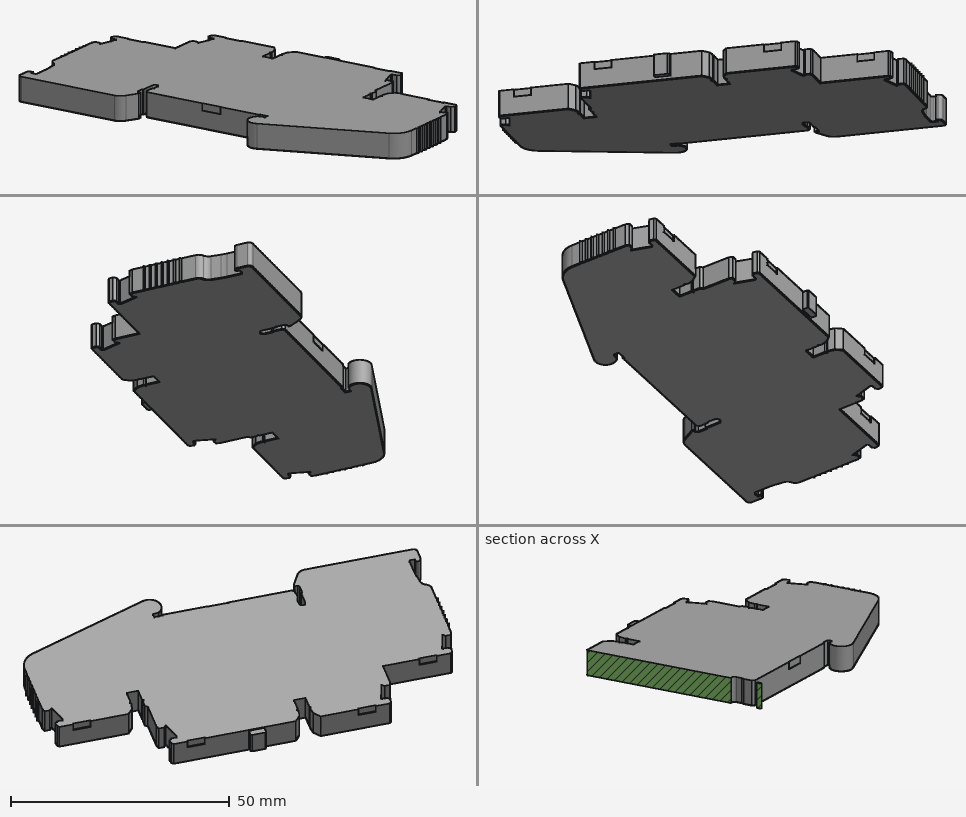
import cadquery as cq
import math

LENGTH = 97.9
THICKNESS = 6.2
BOTTOM_CHAMFER = 0.2

TOOTH_HEIGHT = 0.4
LEFT_WALL = TOOTH_HEIGHT
RIGHT_WALL = LENGTH - TOOTH_HEIGHT
SHOULDER_TOP = 37.2
BLOCK_LEFT = 18.6
BLOCK_RIGHT = 74.1
BLOCK_TOP = 50.1
RAIL_FACE = 6.2

FOOT_LIP_TOP = 4.4
FOOT_LIP_WIDTH = 1.4
FOOT_CORNER_RADIUS = 1.0
FOOT_LIP_RADIUS = 0.9
GROOVE_FLOOR = 3.5
GROOVE_WALL = 2.7
GROOVE_RADIUS = 0.4
FOOT_WALL_TOP = (2.35, 11.3)
FOOT_WALL_BEND = (2.6, 8.9)
FOOT_WALL_FOOT = 7.3
WAIST_MIDDLE = (1.4, 12.6)
WAIST_TOP = 14.2

CATCH_ARC_START = 26.4
CATCH_ARC_RADIUS = 2.5
CATCH_ANGLE = 61.0
CATCH_TIP_X = 30.4
CATCH_TOP = 5.0
CATCH_TIP_FLAT = 0.7

FLEX_LEFT = 29.6
FLEX_RIGHT = 31.0
FLEX_MOUTH_RIGHT = 30.75
FLEX_TOP = 11.85
FLEX_STEP = (8.9, 9.6)
FLEX_BULGE = (5.4, 7.5)
FLEX_BULGE_DEPTH = 0.3
RAIL_CORNER_CHAMFER = 0.6

NOSE_CENTER = (64.2, 2.9)
NOSE_RADIUS = 2.7
SLOPE_ANGLE = 20.0
HEEL_RADIUS = 4.9
NOSE_TOP_X = 62.7
NOSE_POCKET_LEFT = 62.1
NOSE_POCKET_RIGHT = 64.1
NOSE_POCKET_TOP = 6.5
NOSE_POCKET_FLOOR = 5.4

SLOT_WIDTH = 2.7
SLOT_DEPTH = 7.1
LEFT_SLOT = 38.7
RIGHT_SLOT = 74.7
SLOT_LEAD_WIDTH = 1.6
SLOT_LEAD_DEPTH = 1.6
SLOT_NICK_DEPTH = 3.7
SLOT_NICK_SIZE = 0.3
LEDGE_TOP = 36.0
LEDGE_BOTTOM = 35.5

TOOTH_COUNT = 7
TOOTH_BASE = 0.6
FIRST_TOOTH = 18.0
LAST_TOOTH = 27.1
TOOTH_PITCH = (LAST_TOOTH - FIRST_TOOTH) / (TOOTH_COUNT - 1)

TAB_LEFT = 50.4
TAB_WIDTH = 3.7
TAB_HEIGHT = 1.6
TAB_BOTTOM = 0.9
TAB_TOP = 5.9
TAB_CHAMFER = 0.3

RECESS_HEIGHT = 1.8
MARK_WIDTH = 4.1
MARK_DEPTH = 0.3
MARK_OFFSET = 7.4
RAIL_MARK_LEFT = 46.4
RAIL_MARK_WIDTH = 5.0
RAIL_MARK_DEPTH = 0.1


def prism(points):
    """Full-thickness prism over a closed polygon."""
    return cq.Workplane("XY").polyline(points).close().extrude(THICKNESS)


def polar(center, radius, degrees):
    """Point on a circle at an angle counted from +X."""
    angle = math.radians(degrees)
    return (center[0] + radius * math.cos(angle), center[1] + radius * math.sin(angle))


def housing():
    """Stepped plate with the foot, flexible slot, round nose and sloping underside."""
    catch_center = (CATCH_ARC_START, CATCH_ARC_RADIUS)
    catch_mid = polar(catch_center, CATCH_ARC_RADIUS, CATCH_ANGLE / 2 - 90)
    catch_end = polar(catch_center, CATCH_ARC_RADIUS, CATCH_ANGLE - 90)
    catch_tip_bottom = CATCH_TOP - CATCH_TIP_FLAT

    bulge_bottom, bulge_top = FLEX_BULGE
    step_bottom, step_top = FLEX_STEP
    flex_radius = (FLEX_RIGHT - FLEX_LEFT) / 2
    flex_middle = (FLEX_LEFT + FLEX_RIGHT) / 2

    nose_rise = math.sqrt(NOSE_RADIUS**2 - (NOSE_TOP_X - NOSE_CENTER[0]) ** 2)
    nose_top = (NOSE_TOP_X, NOSE_CENTER[1] + nose_rise)
    nose_left = (NOSE_CENTER[0] - NOSE_RADIUS, NOSE_CENTER[1])
    slope_start = polar(NOSE_CENTER, NOSE_RADIUS, SLOPE_ANGLE - 90)

    slope = math.radians(SLOPE_ANGLE)
    heel_x = RIGHT_WALL - HEEL_RADIUS
    slope_end_x = heel_x + HEEL_RADIUS * math.sin(slope)
    slope_end_y = slope_start[1] + (slope_end_x - slope_start[0]) * math.tan(slope)
    heel_center = (heel_x, slope_end_y + HEEL_RADIUS * math.cos(slope))

    outline = (
        cq.Workplane("XY")
        .moveTo(FOOT_CORNER_RADIUS, 0)
        .lineTo(CATCH_ARC_START, 0)
        .threePointArc(catch_mid, catch_end)
        .lineTo(CATCH_TIP_X, catch_tip_bottom)
        .lineTo(CATCH_TIP_X, CATCH_TOP)
        .lineTo(FLEX_LEFT, CATCH_TOP)
        .lineTo(FLEX_LEFT - FLEX_BULGE_DEPTH, bulge_bottom)
        .lineTo(FLEX_LEFT - FLEX_BULGE_DEPTH, bulge_top)
        .lineTo(FLEX_LEFT, bulge_top)
        .lineTo(FLEX_LEFT, FLEX_TOP - flex_radius)
        .threePointArc((flex_middle, FLEX_TOP), (FLEX_RIGHT, FLEX_TOP - flex_radius))
        .lineTo(FLEX_RIGHT, step_top)
        .lineTo(FLEX_MOUTH_RIGHT, step_bottom)
        .lineTo(FLEX_MOUTH_RIGHT, RAIL_FACE + RAIL_CORNER_CHAMFER)
        .lineTo(FLEX_MOUTH_RIGHT + RAIL_CORNER_CHAMFER, RAIL_FACE)
        .lineTo(NOSE_POCKET_LEFT, RAIL_FACE)
        .lineTo(NOSE_POCKET_LEFT, NOSE_POCKET_TOP)
        .lineTo(NOSE_POCKET_RIGHT, NOSE_POCKET_TOP)
        .lineTo(NOSE_POCKET_RIGHT, NOSE_POCKET_FLOOR)
        .lineTo(*nose_top)
        .threePointArc(nose_left, slope_start)
        .lineTo(slope_end_x, slope_end_y)
        .threePointArc(
            polar(heel_center, HEEL_RADIUS, (SLOPE_ANGLE - 90) / 2),
            (RIGHT_WALL, heel_center[1]),
        )
        .lineTo(RIGHT_WALL, SHOULDER_TOP)
        .lineTo(BLOCK_RIGHT, SHOULDER_TOP)
        .lineTo(BLOCK_RIGHT, BLOCK_TOP)
        .lineTo(BLOCK_LEFT, BLOCK_TOP)
        .lineTo(BLOCK_LEFT, SHOULDER_TOP)
        .lineTo(LEFT_WALL, SHOULDER_TOP)
        .lineTo(LEFT_WALL, WAIST_TOP)
        .tangentArcPoint(WAIST_MIDDLE, relative=False)
        .tangentArcPoint(FOOT_WALL_TOP, relative=False)
        .lineTo(*FOOT_WALL_BEND)
        .tangentArcPoint((GROOVE_WALL, FOOT_WALL_FOOT), relative=False)
        .lineTo(GROOVE_WALL, GROOVE_FLOOR + GROOVE_RADIUS)
        .radiusArc((GROOVE_WALL - GROOVE_RADIUS, GROOVE_FLOOR), GROOVE_RADIUS)
        .lineTo(FOOT_LIP_WIDTH, GROOVE_FLOOR)
        .lineTo(FOOT_LIP_WIDTH, FOOT_LIP_TOP)
        .lineTo(FOOT_LIP_RADIUS, FOOT_LIP_TOP)
        .radiusArc((0, FOOT_LIP_TOP - FOOT_LIP_RADIUS), -FOOT_LIP_RADIUS)
        .lineTo(0, FOOT_CORNER_RADIUS)
        .radiusArc((FOOT_CORNER_RADIUS, 0), -FOOT_CORNER_RADIUS)
        .close()
    )
    return outline.extrude(THICKNESS)


def hook_cutout(wall, top, inward):
    """Material removed at a block corner to leave a hooked edge.

    Points are (distance inward from the wall, distance below the top).
    """
    profile = [
        (0, 0),
        (2.1, 0),
        (1.7, 0.4),
        (1.5, 1.5),
        (2.2, 2.1),
        (3.3, 2.1),
        (3.5, 2.35),
        (2.2, 6.8),
        (1.6, 6.2),
        (0.3, 6.2),
        (0, 7.05),
    ]
    return prism([(wall + inward * across, top - down) for across, down in profile])


def slot_cutout(left, top, lead_sides):
    """Narrow slot with a nick in each wall and a slanted lead-in on the given sides (-1 or 1)."""
    middle = left + SLOT_WIDTH / 2
    cutout = prism([
        (left, top - SLOT_DEPTH),
        (left + SLOT_WIDTH, top - SLOT_DEPTH),
        (left + SLOT_WIDTH, top),
        (left, top),
    ])
    nick_y = top - SLOT_NICK_DEPTH
    for side in (-1, 1):
        wall = middle + side * SLOT_WIDTH / 2
        cutout = cutout.union(prism([
            (wall, nick_y + SLOT_NICK_SIZE),
            (wall + side * SLOT_NICK_SIZE, nick_y),
            (wall, nick_y - SLOT_NICK_SIZE),
            (middle, nick_y),
        ]))
    for side in lead_sides:
        wall = middle + side * SLOT_WIDTH / 2
        cutout = cutout.union(prism([
            (middle, top),
            (wall + side * SLOT_LEAD_WIDTH, top),
            (wall + side * SLOT_NICK_SIZE, top - SLOT_LEAD_DEPTH),
            (wall, nick_y + 2 * SLOT_NICK_SIZE),
            (middle, nick_y),
        ]))
    return cutout


def block_ledge_cutout():
    """Clears the mouth of the right slot back to the block wall, down to a slanted ledge."""
    return prism([
        (BLOCK_RIGHT, SHOULDER_TOP),
        (BLOCK_RIGHT, LEDGE_TOP),
        (RIGHT_SLOT, LEDGE_BOTTOM),
        (RIGHT_SLOT, SHOULDER_TOP),
    ])


def grip_teeth(wall, outward):
    """Row of triangular teeth standing on an end wall."""
    teeth = cq.Workplane("XY")
    for index in range(TOOTH_COUNT):
        y = FIRST_TOOTH + index * TOOTH_PITCH
        teeth = teeth.union(prism([
            (wall - outward * TOOTH_HEIGHT, y - TOOTH_BASE / 2),
            (wall, y - TOOTH_BASE / 2),
            (wall + outward * TOOTH_HEIGHT, y),
            (wall, y + TOOTH_BASE / 2),
            (wall - outward * TOOTH_HEIGHT, y + TOOTH_BASE / 2),
        ]))
    return teeth


def edge_tab():
    """Small block on the far edge, with its two outer upright edges chamfered."""
    return (
        cq.Workplane("XY", origin=(TAB_LEFT, BLOCK_TOP, TAB_BOTTOM))
        .box(TAB_WIDTH, TAB_HEIGHT, TAB_TOP - TAB_BOTTOM, centered=False)
        .edges("|Z and >Y")
        .chamfer(TAB_CHAMFER)
    )


def rim_recess(left, low_y, width, depth):
    """Shallow recess open to the upper face."""
    return cq.Workplane("XY", origin=(left, low_y, THICKNESS - RECESS_HEIGHT)).box(
        width, depth, RECESS_HEIGHT, centered=False
    )


HOOKED_CORNERS = [
    (LEFT_WALL, SHOULDER_TOP, 1),
    (BLOCK_LEFT, BLOCK_TOP, 1),
    (BLOCK_RIGHT, BLOCK_TOP, -1),
    (RIGHT_WALL, SHOULDER_TOP, -1),
]

body = housing()
for wall, top, inward in HOOKED_CORNERS:
    body = body.cut(hook_cutout(wall, top, inward))
body = body.cut(slot_cutout(LEFT_SLOT, BLOCK_TOP, (-1, 1)))
body = body.cut(slot_cutout(RIGHT_SLOT, SHOULDER_TOP, (1,)))
body = body.cut(block_ledge_cutout())
body = body.union(grip_teeth(LEFT_WALL, -1)).union(grip_teeth(RIGHT_WALL, 1))
body = body.faces("<Z").chamfer(BOTTOM_CHAMFER)

for wall, top, inward in HOOKED_CORNERS:
    mark_middle = wall + inward * MARK_OFFSET
    mark_left = mark_middle - MARK_WIDTH / 2
    body = body.cut(rim_recess(mark_left, top - MARK_DEPTH, MARK_WIDTH, MARK_DEPTH))
body = body.cut(rim_recess(RAIL_MARK_LEFT, RAIL_FACE, RAIL_MARK_WIDTH, RAIL_MARK_DEPTH))

result = body.union(edge_tab())